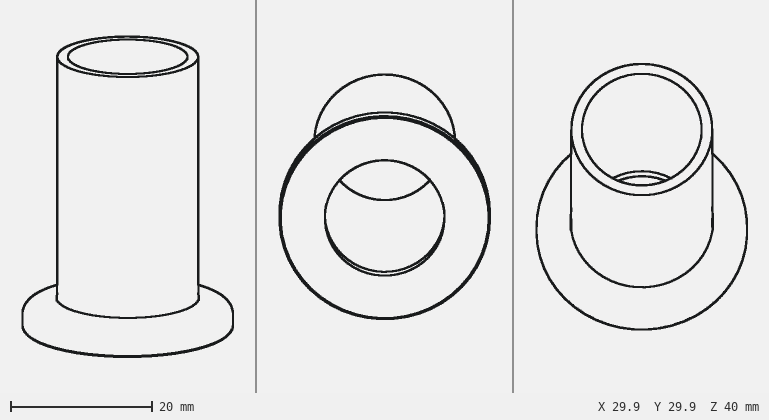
import cadquery as cq
import math

overall_height = 40.0

tube_radius = 10.0
tube_bore_radius = 8.5

ledge_thickness = 2.0
radial_clearance = 0.1
flange_diameter = 29.9
flange_height = 4.4
cone_slope = 15.0
rim_fillet = 1.5
bottom_chamfer = 0.2

tube_length = overall_height - ledge_thickness
flange_radius = flange_diameter / 2
socket_radius = tube_radius + radial_clearance
slope_angle = math.radians(cone_slope)
cone_edge_height = flange_height - (flange_radius - socket_radius) * math.tan(slope_angle)

arc_sweep = math.pi / 2 - slope_angle
arc_center_radius = flange_radius - rim_fillet
arc_center_height = cone_edge_height - rim_fillet * math.tan(arc_sweep / 2)


def rim_arc_point(angle):
    """Point on the rim arc, with the angle measured up from the outward direction."""
    return (
        arc_center_radius + rim_fillet * math.cos(angle),
        arc_center_height + rim_fillet * math.sin(angle),
    )


def make_tube():
    """Plain open tube standing on the socket ledge."""
    return (
        cq.Workplane("XY", origin=(0, 0, ledge_thickness))
        .circle(tube_radius)
        .circle(tube_bore_radius)
        .extrude(tube_length)
    )


def make_flange():
    """Revolved ring with a stepped bore, a conical top, a rounded upper rim and a chamfered lower rim."""
    return (
        cq.Workplane("XZ")
        .moveTo(tube_bore_radius, 0)
        .lineTo(flange_radius - bottom_chamfer, 0)
        .lineTo(flange_radius, bottom_chamfer)
        .lineTo(flange_radius, arc_center_height)
        .threePointArc(rim_arc_point(arc_sweep / 2), rim_arc_point(arc_sweep))
        .lineTo(socket_radius, flange_height)
        .lineTo(socket_radius, ledge_thickness)
        .lineTo(tube_bore_radius, ledge_thickness)
        .close()
        .revolve(360, (0, 0, 0), (0, 1, 0))
    )


tube = make_tube()
flange = make_flange()

result = cq.Compound.makeCompound([tube.val(), flange.val()])